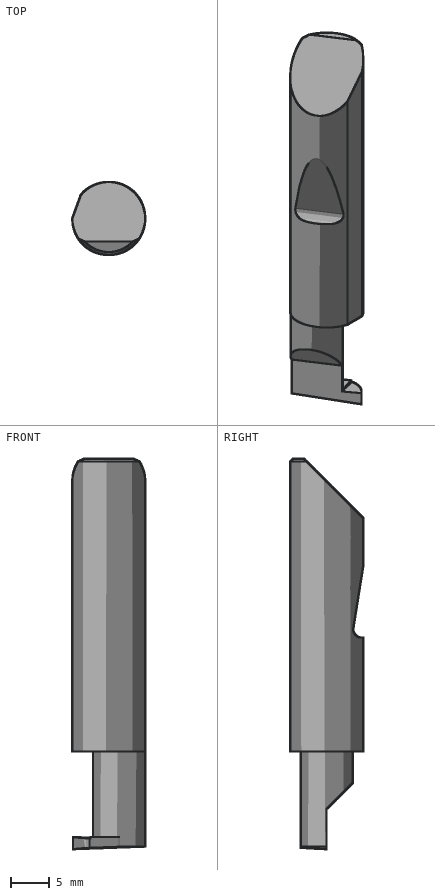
import cadquery as cq
import math

SHANK_RADIUS = 9.525 / 2
SHANK_LENGTH = 38.1
FLAT_ANGLE = 20.0
BEVEL_START_Y = -2.97
RIM_CHAMFER_RADIAL = 0.4
RIM_CHAMFER_HEIGHT = 0.4

NOTCH_FLOOR_Z = 14.85
NOTCH_RADIUS = 1.05
NOTCH_DEPTH = 1.3
NOTCH_ANGLE = 9.0

NECK_RADIUS = 3.41
NECK_X = SHANK_RADIUS - NECK_RADIUS
NECK_BEVEL_TOP_Z = -4.05
NECK_FACE_Y = 0.0

TIP_X = -4.67
TIP_Z = SHANK_LENGTH - 50.79
HEAD_TOP_Z = -11.03
HEAD_BACK_Y = -NECK_RADIUS
HEAD_CORNER_X = -2.5
NOSE_RADIUS = 5.0
NOSE_END_X = -2.85
NOSE_END_Y = -3.17
TOOTH_TOP_Z = -11.08
TOOTH_ROOT_FRONT_X = -2.0
TOOTH_ROOT_BACK_X = -2.4
CLEARANCE_ANGLE = 2.1
CLEARANCE_CUT_DEPTH = 3.0

CUTTER = 30.0


def extrude_along_x(outline):
    """Solid from a closed (Y, Z) outline, running right across the part."""
    return outline.close().extrude(CUTTER / 2, both=True)


def clearance_cutter(corner_z, z_sign):
    """Block beyond a plane through the tip edge that falls away toward +X and -Y."""
    slope = math.tan(math.radians(CLEARANCE_ANGLE))
    plane = cq.Plane(
        origin=(TIP_X, NECK_FACE_Y, corner_z),
        xDir=(1, 0, -z_sign * slope),
        normal=(slope, -slope, z_sign),
    )
    return cq.Workplane(plane).rect(CUTTER, CUTTER).extrude(CLEARANCE_CUT_DEPTH)


def make_shank():
    shank = cq.Workplane("XY").circle(SHANK_RADIUS).extrude(SHANK_LENGTH)
    shank = shank.faces(">Z").edges().chamfer(RIM_CHAMFER_HEIGHT, RIM_CHAMFER_RADIAL)

    side_flat = (
        cq.Workplane("XY")
        .rect(CUTTER, CUTTER)
        .extrude(SHANK_LENGTH)
        .translate((-CUTTER / 2, 0, 0))
        .rotate((0, 0, 0), (0, 0, 1), -FLAT_ANGLE)
        .translate((-SHANK_RADIUS, 0, 0))
    )
    end_bevel = extrude_along_x(
        cq.Workplane("YZ")
        .moveTo(BEVEL_START_Y, SHANK_LENGTH)
        .lineTo(BEVEL_START_Y + CUTTER, SHANK_LENGTH)
        .lineTo(BEVEL_START_Y + CUTTER, SHANK_LENGTH - CUTTER)
    )
    return shank.cut(side_flat).cut(end_bevel).cut(make_notch())


def make_notch():
    """Ramped notch: a horizontal floor, a round root and a long shallow ramp."""
    angle = math.radians(NOTCH_ANGLE)
    center_y = SHANK_RADIUS - NOTCH_DEPTH + NOTCH_RADIUS
    center_z = NOTCH_FLOOR_Z + NOTCH_RADIUS
    ramp_y = center_y - NOTCH_RADIUS * math.cos(angle)
    ramp_z = center_z + NOTCH_RADIUS * math.sin(angle)
    outer_y = SHANK_RADIUS + NOTCH_RADIUS
    outer_z = ramp_z + (outer_y - ramp_y) / math.tan(angle)
    floor_direction = 1.5 * math.pi
    ramp_direction = math.pi - angle
    middle = (floor_direction + ramp_direction) / 2
    arc_middle = (
        center_y + NOTCH_RADIUS * math.cos(middle),
        center_z + NOTCH_RADIUS * math.sin(middle),
    )
    return extrude_along_x(
        cq.Workplane("YZ")
        .moveTo(outer_y, NOTCH_FLOOR_Z)
        .lineTo(center_y, NOTCH_FLOOR_Z)
        .threePointArc(arc_middle, (ramp_y, ramp_z))
        .lineTo(outer_y, outer_z)
    )


def make_neck():
    neck = cq.Workplane("XY").center(NECK_X, 0).circle(NECK_RADIUS).extrude(TIP_Z)
    bevel_drop = NECK_RADIUS - NECK_FACE_Y
    relief = extrude_along_x(
        cq.Workplane("YZ")
        .moveTo(NECK_FACE_Y, TIP_Z)
        .lineTo(NECK_FACE_Y, NECK_BEVEL_TOP_Z - bevel_drop)
        .lineTo(NECK_FACE_Y + CUTTER, NECK_BEVEL_TOP_Z - bevel_drop + CUTTER)
        .lineTo(NECK_FACE_Y + CUTTER, TIP_Z)
    )
    return neck.cut(relief)


def make_head():
    """Plate with a curved nose; its tooth has clearance behind the cutting edge."""
    head = (
        cq.Workplane("XY", origin=(0, 0, TIP_Z))
        .moveTo(TIP_X, NECK_FACE_Y)
        .radiusArc((NOSE_END_X, NOSE_END_Y), -NOSE_RADIUS)
        .lineTo(HEAD_CORNER_X, HEAD_BACK_Y)
        .lineTo(NECK_X, HEAD_BACK_Y)
        .lineTo(NECK_X, NECK_FACE_Y)
        .close()
        .extrude(TOOTH_TOP_Z - TIP_Z)
    )
    tooth_zone = (
        cq.Workplane("XY", origin=(0, 0, TIP_Z))
        .moveTo(TOOTH_ROOT_FRONT_X, NECK_FACE_Y)
        .lineTo(TOOTH_ROOT_BACK_X, HEAD_BACK_Y)
        .lineTo(-CUTTER, HEAD_BACK_Y)
        .lineTo(-CUTTER, NECK_FACE_Y)
        .close()
        .extrude(CUTTER)
    )
    above_plate = cq.Workplane("XY", origin=(0, 0, HEAD_TOP_Z)).rect(CUTTER, CUTTER).extrude(CUTTER)
    tooth = head.intersect(tooth_zone).cut(clearance_cutter(TOOTH_TOP_Z, 1))
    plate = head.cut(tooth_zone).cut(above_plate)
    return plate.union(tooth)


tool = make_shank().union(make_neck()).union(make_head())
result = tool.cut(clearance_cutter(TIP_Z, -1))